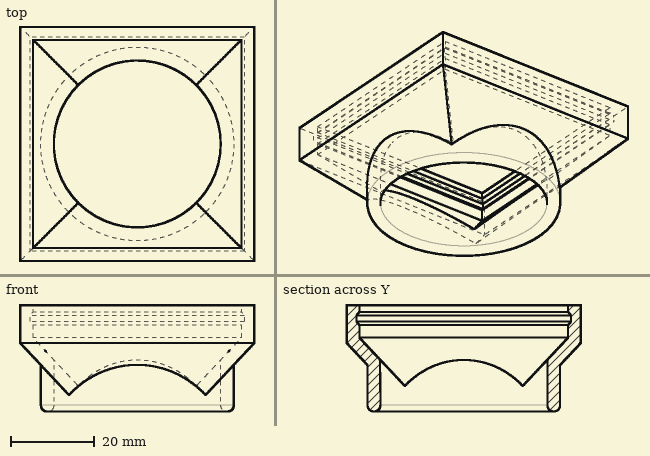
import cadquery as cq
import math

frame_size = 55.88
total_height = 25.4
frame_height = 9.0

wall_thickness = 3.1
opening_size = frame_size - 2 * wall_thickness
lip_height = 1.5875
groove_depth = 0.71
groove_bevel_height = 0.88
groove_height = 3.175
inner_wall_height = 3.0

spigot_diameter = 46.1
bore_diameter = 39.75
spigot_wall = (spigot_diameter - bore_diameter) / 2
spigot_end_radius = spigot_wall / 2

funnel_slope = 1.065

frame_bottom_z = total_height - frame_height
lip_bottom_z = total_height - lip_height
groove_bottom_z = lip_bottom_z - groove_height
inner_wall_bottom_z = groove_bottom_z - inner_wall_height


def square_block(size, bottom_z, top_z):
    """Square prism centred on the Z axis."""
    return cq.Workplane("XY").workplane(offset=bottom_z).rect(size, size).extrude(top_z - bottom_z)


def square_frustum(bottom_size, bottom_z, top_size, top_z):
    """Square frustum centred on the Z axis."""
    return (
        cq.Workplane("XY")
        .workplane(offset=bottom_z)
        .rect(bottom_size, bottom_size)
        .workplane(offset=top_z - bottom_z)
        .rect(top_size, top_size)
        .loft(ruled=True, combine=True)
    )


def square_funnel(top_size, top_z):
    """Square frustum that narrows downward from top_z to the base plane."""
    bottom_size = top_size - 2 * top_z / funnel_slope
    return square_frustum(bottom_size, 0, top_size, top_z)


def groove_cutter():
    """Square ring groove with a straight back and sloping bevels above and below it."""
    groove_size = opening_size + 2 * groove_depth
    back_top_z = lip_bottom_z - groove_bevel_height
    back_bottom_z = groove_bottom_z + groove_bevel_height
    upper_bevel = square_frustum(groove_size, back_top_z, opening_size, lip_bottom_z)
    back = square_block(groove_size, back_bottom_z, back_top_z)
    lower_bevel = square_frustum(opening_size, groove_bottom_z, groove_size, back_bottom_z)
    return back.union(upper_bevel).union(lower_bevel)


def spigot():
    """Round plug with its lower outer edge rounded over half the tube wall."""
    plug = cq.Workplane("XY").circle(spigot_diameter / 2).extrude(frame_bottom_z)
    return plug.faces("<Z").edges().fillet(spigot_end_radius)


def bore():
    """Through bore, flared at the bottom so that the tube end becomes a full round."""
    bore_radius = bore_diameter / 2
    flare_radius = bore_radius + spigot_end_radius
    arc_reach = spigot_end_radius * math.sqrt(0.5)
    return (
        cq.Workplane("XZ")
        .lineTo(flare_radius, 0)
        .threePointArc(
            (flare_radius - arc_reach, spigot_end_radius - arc_reach),
            (bore_radius, spigot_end_radius),
        )
        .lineTo(bore_radius, total_height)
        .lineTo(0, total_height)
        .close()
        .revolve(360, (0, 0, 0), (0, 1, 0))
    )


def outer_body():
    """Frame, pyramidal transition and spigot before the inside is hollowed out."""
    frame = square_block(frame_size, frame_bottom_z, total_height)
    transition = square_funnel(frame_size, frame_bottom_z)
    return frame.union(transition).union(spigot())


def inner_cavity():
    """Grooved square opening, funnel and through bore."""
    opening = square_block(opening_size, inner_wall_bottom_z, total_height)
    funnel = square_funnel(opening_size, inner_wall_bottom_z)
    return opening.union(groove_cutter()).union(funnel).union(bore())


result = outer_body().cut(inner_cavity())